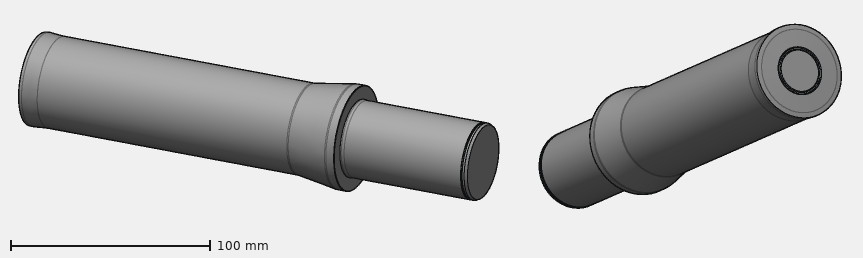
import cadquery as cq

TOTAL_LENGTH = 246.0

BARREL_DIAMETER = 47.0
TIP_DIAMETER = 48.2
TIP_FACE_DIAMETER = 42.8
TIP_FACE_SLOPE = 0.5
TIP_CHAMFER_END_X = 0.7
TIP_EDGE_DIAMETER = 48.0
TIP_RIM_X = 2.5
TIP_TAPER_END_X = 10.8
FLARE_START_X = 148.8
FLARE_END_X = 171.2
FLARE_BLEND_RADIUS = 5.0
EDGE_MARGIN = 0.2
COLLAR_DIAMETER = 54.0
COLLAR_END_X = 176.1
COLLAR_CHAMFER = 0.2

RING_OUTER_DIAMETER = 24.5
RING_INNER_DIAMETER = 21.2
RING_WALL_RUN = 0.5
RING_DEPTH = 0.5

ROD_DIAMETER = 39.5
ROD_END_CHAMFER_LENGTH = 1.5
ROD_END_CHAMFER_DEPTH = 0.7
SEAT_DEPTH = 12.3
SHOULDER_DIAMETER = 40.0
SHOULDER_END_X = 178.4
SHOULDER_TAPER_LENGTH = 1.5
GROOVE_START_X = 242.5
GROOVE_WIDTH = 0.7
GROOVE_DEPTH = 0.2


def turned(profile):
    """Revolve a closed profile of (x, radius) points about the X axis."""
    return cq.Workplane("XY").polyline(profile).close().revolve(360, (0, 0, 0), (1, 0, 0))


def edges_near(x):
    """Selector for edges whose centre lies close to the plane at the given X."""
    reach = COLLAR_DIAMETER / 2
    return cq.selectors.BoxSelector((x - EDGE_MARGIN, -reach, -reach), (x + EDGE_MARGIN, reach, reach))


def make_housing():
    collar_radius = COLLAR_DIAMETER / 2
    seat_radius = SHOULDER_DIAMETER / 2
    seat_x = COLLAR_END_X - SEAT_DEPTH
    ring_inner_radius = RING_INNER_DIAMETER / 2
    ring_outer_radius = RING_OUTER_DIAMETER / 2
    body = turned([
        (0, 0),
        (0, ring_inner_radius),
        (RING_DEPTH, ring_inner_radius + RING_WALL_RUN),
        (RING_DEPTH, ring_outer_radius - RING_WALL_RUN),
        (0, ring_outer_radius),
        (TIP_FACE_SLOPE, TIP_FACE_DIAMETER / 2),
        (TIP_CHAMFER_END_X, TIP_EDGE_DIAMETER / 2),
        (TIP_RIM_X, TIP_DIAMETER / 2),
        (TIP_TAPER_END_X, BARREL_DIAMETER / 2),
        (FLARE_START_X, BARREL_DIAMETER / 2),
        (FLARE_END_X, collar_radius),
        (COLLAR_END_X - COLLAR_CHAMFER, collar_radius),
        (COLLAR_END_X, collar_radius - COLLAR_CHAMFER),
        (COLLAR_END_X, seat_radius),
        (seat_x, seat_radius),
        (seat_x, 0),
    ])
    flare_rims = body.edges(edges_near(FLARE_START_X) + edges_near(FLARE_END_X))
    return flare_rims.fillet(FLARE_BLEND_RADIUS)


def make_rod():
    rod_radius = ROD_DIAMETER / 2
    shoulder_radius = SHOULDER_DIAMETER / 2
    groove_radius = rod_radius - GROOVE_DEPTH
    groove_end_x = GROOVE_START_X + GROOVE_WIDTH
    seat_x = COLLAR_END_X - SEAT_DEPTH
    return turned([
        (seat_x, 0),
        (seat_x, shoulder_radius),
        (SHOULDER_END_X - SHOULDER_TAPER_LENGTH, shoulder_radius),
        (SHOULDER_END_X, rod_radius),
        (GROOVE_START_X, rod_radius),
        (GROOVE_START_X, groove_radius),
        (groove_end_x, groove_radius),
        (groove_end_x, rod_radius),
        (TOTAL_LENGTH - ROD_END_CHAMFER_LENGTH, rod_radius),
        (TOTAL_LENGTH, rod_radius - ROD_END_CHAMFER_DEPTH),
        (TOTAL_LENGTH, 0),
    ])


housing = make_housing()
rod = make_rod()
result = cq.Compound.makeCompound([housing.val(), rod.val()])